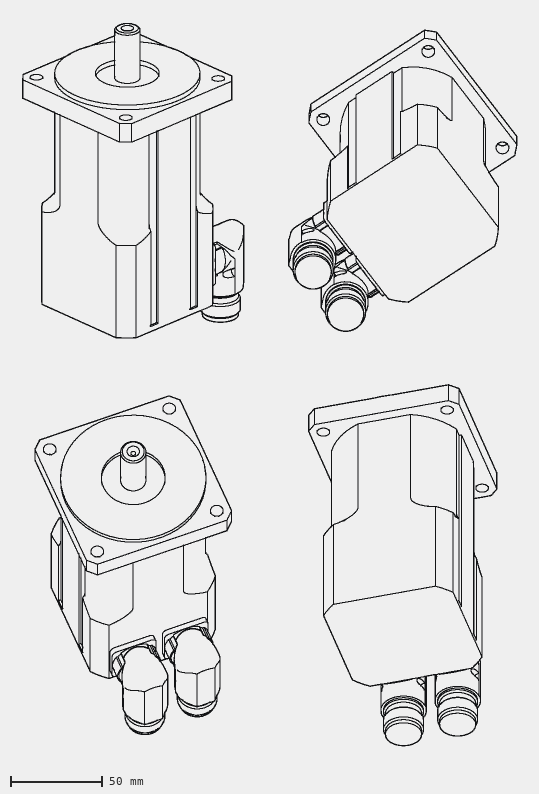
import cadquery as cq
import math


total_height = 188.5
pilot_top = 161.0
flange_top = 158.2
flange_bottom = 146.8
neck_bottom = 87.8
corner_top = 78.6
body_bottom = 22.0

flange_side = 86.0
flange_chamfer = 4.7
pilot_diameter = 80.0
recess_diameter = 35.0
recess_depth = 2.8
bolt_circle_diameter = 99.9
bolt_hole_diameter = 7.0
bolt_hole_count = 4
first_bolt_angle = 45.0

body_side = 74.0
neck_diameter = pilot_diameter
body_corner_diameter = 94.2
groove_inner_y = 12.3
groove_width = 5.7
groove_depth = 1.3
groove_bottom = 25.3

shaft_diameter = 14.0
shaft_chamfer = 1.0
centre_hole_diameter = 2.6
centre_hole_depth = 7.5
countersink_diameter = 6.8
countersink_angle = 90.0

connector_spacing = 31.0
connector_overhang = 26.0
bend_height = 40.0
shell_leg_radius = 12.6
shell_cap_radius = 13.0
shell_front = 12.8
shell_front_half_width = 5.3
shell_bevel_end = 9.6
shell_rear = 1.0
shell_mitre_offset = 2.3
core_leg_radius = 12.5
core_cap_radius = 12.8
sleeve_radius = 12.0
neck_half_width = 7.7
plate_thickness = 3.0
plate_side = 25.8
plate_corner_radius = 2.8
ear_half_height = 7.4
ear_length = 7.5
leg_bottom = 17.0
notch_diameter = 4.9
notch_height = 30.3
notch_offset = 12.3
barrel_diameter = 22.0
collar_diameter = 20.0
ring_bevel_height = 1.1
groove_top = 14.7
ring_top = 11.3
ring_bottom = 2.3

body_face = body_side / 2
bend_y = flange_side / 2 + connector_overhang - shell_front
arm_length = bend_y - body_face


def vertical_cylinder(diameter, bottom, top):
    return cq.Workplane("XY").workplane(offset=bottom).circle(diameter / 2).extrude(top - bottom)


def box_between(x_range, y_range, z_range):
    size = [high - low for low, high in (x_range, y_range, z_range)]
    corner = (x_range[0], y_range[0], z_range[0])
    return cq.Workplane("XY").box(*size, centered=False).translate(corner)


def make_flange():
    plate = (
        cq.Workplane("XY")
        .workplane(offset=flange_bottom)
        .rect(flange_side, flange_side)
        .extrude(flange_top - flange_bottom)
        .edges("|Z")
        .chamfer(flange_chamfer)
    )
    pilot = vertical_cylinder(pilot_diameter, flange_top, pilot_top)
    recess = vertical_cylinder(recess_diameter, pilot_top - recess_depth, pilot_top)
    bolt_holes = (
        cq.Workplane("XY")
        .workplane(offset=flange_bottom)
        .polarArray(bolt_circle_diameter / 2, first_bolt_angle, 360, bolt_hole_count)
        .circle(bolt_hole_diameter / 2)
        .extrude(flange_top - flange_bottom)
    )
    return plate.union(pilot).cut(recess).cut(bolt_holes)


def make_motor_body():
    neck_radius = neck_diameter / 2
    corner_radius = body_corner_diameter / 2
    rise = neck_bottom - corner_top
    widening = corner_radius - neck_radius
    arc_radius = (rise**2 + widening**2) / (2 * widening)
    half_angle = math.asin(rise / arc_radius) / 2
    arc_middle = (
        neck_radius + arc_radius * (1 - math.cos(half_angle)),
        neck_bottom - arc_radius * math.sin(half_angle),
    )
    turned = (
        cq.Workplane("XZ")
        .moveTo(0, body_bottom)
        .lineTo(corner_radius, body_bottom)
        .lineTo(corner_radius, corner_top)
        .threePointArc(arc_middle, (neck_radius, neck_bottom))
        .lineTo(neck_radius, flange_bottom)
        .lineTo(0, flange_bottom)
        .close()
        .revolve(360, (0, 0, 0), (0, 1, 0))
    )
    sides = (-body_face, body_face)
    body = box_between(sides, sides, (body_bottom, flange_bottom)).intersect(turned)
    groove_centre_y = groove_inner_y + groove_width / 2
    for side_x in (-1, 1):
        for side_y in (-1, 1):
            groove = (
                cq.Workplane("XY")
                .workplane(offset=groove_bottom)
                .center(side_x * body_face, side_y * groove_centre_y)
                .rect(2 * groove_depth, groove_width)
                .extrude(flange_bottom - groove_bottom)
            )
            body = body.cut(groove)
    return body


def make_shaft():
    return (
        vertical_cylinder(shaft_diameter, flange_bottom, total_height)
        .faces(">Z")
        .chamfer(shaft_chamfer)
        .faces(">Z")
        .workplane()
        .cskHole(centre_hole_diameter, countersink_diameter, countersink_angle, centre_hole_depth)
    )


def make_motor():
    return make_motor_body().union(make_flange()).union(make_shaft())


def horizontal_cylinder(radius, start_y, end_y):
    return (
        cq.Workplane("XZ", origin=(0, start_y, bend_height))
        .circle(radius)
        .extrude(start_y - end_y)
    )


def capped(leg, cap_radius):
    cap = horizontal_cylinder(cap_radius, -arm_length, shell_front)
    neck = cap.intersect(
        box_between(
            (-neck_half_width, neck_half_width),
            (-arm_length, 0),
            (bend_height - cap_radius, bend_height + cap_radius),
        )
    )
    below = box_between(
        (-cap_radius, cap_radius), (-arm_length, shell_front), (leg_bottom, bend_height)
    )
    return leg.intersect(cap.union(below)).union(neck)


def make_shell():
    leg_top = bend_height + shell_cap_radius
    leg = vertical_cylinder(2 * shell_leg_radius, leg_bottom, leg_top)
    bevel_half_width = math.sqrt(shell_leg_radius**2 - shell_bevel_end**2)
    front = (
        cq.Workplane("XY")
        .workplane(offset=leg_bottom)
        .polyline(
            [
                (-shell_front_half_width, shell_front),
                (shell_front_half_width, shell_front),
                (bevel_half_width, shell_bevel_end),
                (-bevel_half_width, shell_bevel_end),
            ]
        )
        .close()
        .extrude(leg_top - leg_bottom)
    )
    mitre_bottom = bend_height - shell_mitre_offset + shell_rear
    mitre_top_y = -shell_mitre_offset - shell_cap_radius
    covered = (
        cq.Workplane("YZ")
        .polyline(
            [
                (shell_front, leg_bottom),
                (-shell_rear, leg_bottom),
                (-shell_rear, mitre_bottom),
                (mitre_top_y, leg_top),
                (shell_front, leg_top),
            ]
        )
        .close()
        .extrude(shell_cap_radius, both=True)
    )
    return capped(leg.union(front), shell_cap_radius).intersect(covered)


def make_core():
    leg = vertical_cylinder(2 * core_leg_radius, leg_bottom, bend_height + core_cap_radius)
    plate_face = plate_thickness - arm_length
    sleeve = horizontal_cylinder(sleeve_radius, plate_face, 0)
    ears = horizontal_cylinder(core_cap_radius, plate_face, plate_face + ear_length).intersect(
        box_between(
            (-core_cap_radius, core_cap_radius),
            (plate_face, plate_face + ear_length),
            (bend_height - ear_half_height, bend_height + ear_half_height),
        )
    )
    plate = (
        cq.Workplane("XZ", origin=(0, plate_face, bend_height))
        .rect(plate_side, plate_side)
        .extrude(plate_thickness)
        .edges("|Y")
        .fillet(plate_corner_radius)
    )
    return capped(leg, core_cap_radius).union(sleeve).union(ears).union(plate)


def make_barrel():
    barrel_radius = barrel_diameter / 2
    collar_radius = collar_diameter / 2
    return (
        cq.Workplane("XZ")
        .polyline(
            [
                (0, 0),
                (collar_radius, 0),
                (collar_radius, ring_bottom),
                (barrel_radius, ring_bottom + ring_bevel_height),
                (barrel_radius, ring_top - ring_bevel_height),
                (collar_radius, ring_top),
                (collar_radius, groove_top),
                (barrel_radius, groove_top + ring_bevel_height),
                (barrel_radius, leg_bottom),
                (0, leg_bottom),
            ]
        )
        .close()
        .revolve(360, (0, 0, 0), (0, 1, 0))
    )


def make_connector(x):
    connector = make_core().union(make_shell()).union(make_barrel())
    for side in (-1, 1):
        notch = (
            cq.Workplane("XZ", origin=(side * notch_offset, -shell_rear, notch_height))
            .circle(notch_diameter / 2)
            .extrude(core_leg_radius)
        )
        connector = connector.cut(notch)
    return connector.translate((x, bend_y, 0))


motor = make_motor().solids()
connectors = [make_connector(side * connector_spacing / 2).solids() for side in (-1, 1)]

result = cq.Compound.makeCompound([motor.val(), *[connector.val() for connector in connectors]])